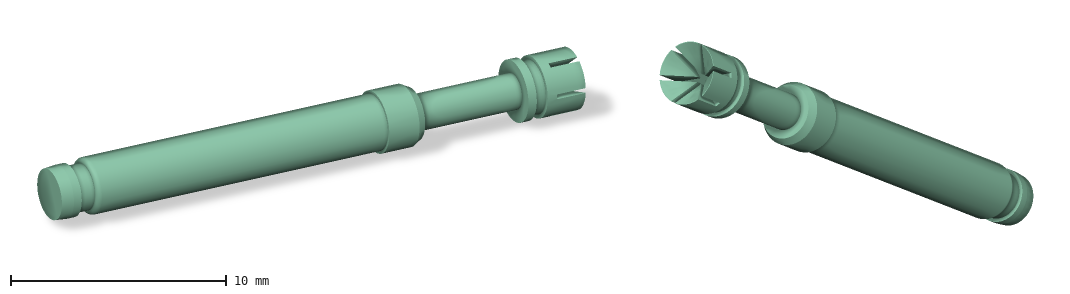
import cadquery as cq

LENGTH = 27.3

HEAD_RADIUS = 1.5
GROOVE_RADIUS = 1.3
GROOVE_FLOOR_RADIUS = 1.28
PLUNGER_RADIUS = 0.87
COLLAR_RADIUS = HEAD_RADIUS
COLLAR_START_RADIUS = 1.28
TUBE_RADIUS = 1.36
NECK_RADIUS = 1.12
TAIL_RADIUS = 1.28
TAIL_END_RADIUS = 1.23

CROWN_END = 2.0
GROOVE_FLOOR_START = 2.15
GROOVE_FLOOR_END = 2.4
GROOVE_END = 2.57
FLANGE_END = 3.0
PLUNGER_END = 8.3
COLLAR_END = 10.3
TUBE_END = 25.53
NECK_END = 26.3
TAIL_TAPER_START = 26.7

COLLAR_TAPER = 0.4
TUBE_ROUND = TUBE_RADIUS - NECK_RADIUS

SLOT_COUNT = 6
SLOT_WIDTH = 0.25
SLOT_DEPTH = 1.5
CUT_MARGIN = 0.27
CONE_RADIUS = 1.47
CONE_DEPTH = 1.47

CROWN_TIP_Y = LENGTH / 2


def make_body():
    """Stepped round body with the conical mouth, revolved about Y."""
    def at(radius, distance):
        """Outline point at a radius and a distance from the crown tip."""
        return (radius, CROWN_TIP_Y - distance)

    tube_round_middle = TUBE_ROUND * (1 - 0.5**0.5)
    return (
        cq.Workplane("XY")
        .moveTo(*at(0, CONE_DEPTH))
        .lineTo(*at(CONE_RADIUS, 0))
        .lineTo(*at(HEAD_RADIUS, 0))
        .lineTo(*at(HEAD_RADIUS, CROWN_END))
        .lineTo(*at(GROOVE_RADIUS, CROWN_END))
        .lineTo(*at(GROOVE_FLOOR_RADIUS, GROOVE_FLOOR_START))
        .lineTo(*at(GROOVE_FLOOR_RADIUS, GROOVE_FLOOR_END))
        .lineTo(*at(GROOVE_RADIUS, GROOVE_END))
        .lineTo(*at(HEAD_RADIUS, GROOVE_END))
        .lineTo(*at(HEAD_RADIUS, FLANGE_END))
        .lineTo(*at(PLUNGER_RADIUS, FLANGE_END))
        .lineTo(*at(PLUNGER_RADIUS, PLUNGER_END))
        .lineTo(*at(COLLAR_START_RADIUS, PLUNGER_END))
        .lineTo(*at(COLLAR_RADIUS, PLUNGER_END + COLLAR_TAPER))
        .lineTo(*at(COLLAR_RADIUS, COLLAR_END))
        .lineTo(*at(TUBE_RADIUS, COLLAR_END))
        .lineTo(*at(TUBE_RADIUS, TUBE_END - TUBE_ROUND))
        .threePointArc(
            at(TUBE_RADIUS - tube_round_middle, TUBE_END - tube_round_middle),
            at(NECK_RADIUS, TUBE_END),
        )
        .lineTo(*at(NECK_RADIUS, NECK_END))
        .lineTo(*at(TAIL_RADIUS, NECK_END))
        .lineTo(*at(TAIL_RADIUS, TAIL_TAPER_START))
        .lineTo(*at(TAIL_END_RADIUS, LENGTH))
        .lineTo(*at(0, LENGTH))
        .close()
        .revolve(360, (0, 0, 0), (0, 1, 0))
    )


def make_slots():
    """Bars across the crown, each cutting two opposite slots."""
    bar = cq.Workplane("XY").box(2 * HEAD_RADIUS + CUT_MARGIN, SLOT_DEPTH, SLOT_WIDTH)
    bar = bar.translate((0, CROWN_TIP_Y - SLOT_DEPTH / 2, 0))
    slots = bar
    angle_step = 360 / SLOT_COUNT
    for index in range(1, SLOT_COUNT // 2):
        slots = slots.union(bar.rotate((0, 0, 0), (0, 1, 0), index * angle_step))
    return slots


result = make_body().cut(make_slots())